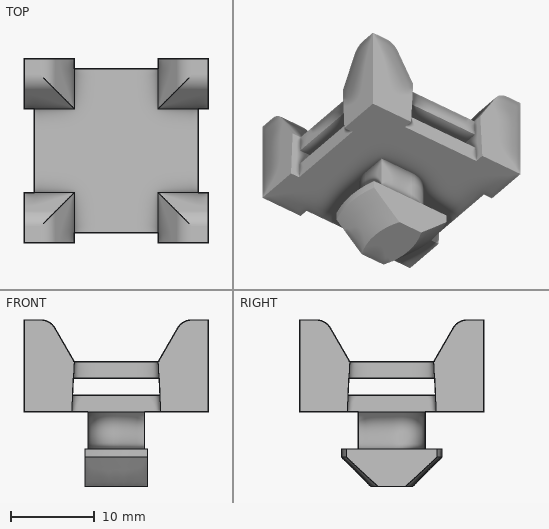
import cadquery as cq
import math

carrier_width = 22.0
carrier_height = 11.0
half_width = carrier_width / 2

plate_width = 19.6
plate_thickness = 2.0
plate_gap = 2.0
upper_plate_bottom = plate_thickness + plate_gap
seat_height = upper_plate_bottom + plate_thickness

post_spacing = 10.0
draft_angle = 3.0
guide_angle = 30.0
guide_radius = 2.0

stem_width = 6.8
stem_length = 8.0
stem_height = 4.4
stem_corner_radius = 3.5

head_width = 7.5
head_length = 12.0
head_band_height = 1.0
head_bevel = 3.5
head_end_radius = 12.0


def make_plate(bottom):
    plate = cq.Workplane("XY").workplane(offset=bottom)
    return plate.rect(plate_width, plate_width).extrude(plate_thickness)


def make_post_profile(plane):
    """Post outline on a vertical plane, extruded from the part centre to one outer side."""
    seat_edge = post_spacing / 2
    foot_edge = seat_edge + seat_height * math.tan(math.radians(draft_angle))
    slope = math.radians(guide_angle)
    slope_top = seat_edge + (carrier_height - seat_height) * math.tan(slope)

    tangent_length = guide_radius * math.tan((math.pi / 2 - slope) / 2)
    arc_start = (
        slope_top - tangent_length * math.sin(slope),
        carrier_height - tangent_length * math.cos(slope),
    )
    arc_end = (slope_top + tangent_length, carrier_height)

    return (
        cq.Workplane(plane)
        .moveTo(foot_edge, 0)
        .lineTo(seat_edge, seat_height)
        .lineTo(*arc_start)
        .radiusArc(arc_end, guide_radius)
        .lineTo(half_width, carrier_height)
        .lineTo(half_width, 0)
        .close()
        .extrude(half_width)
    )


def make_post():
    """Post in the +X +Y corner: the same outline seen along X and along Y."""
    along_x = make_post_profile("YZ")
    along_y = make_post_profile("XZ").mirror("XZ")
    return along_x.intersect(along_y)


def make_stem():
    """Block with two diagonally opposite corners rounded, so that it can turn in a slot."""
    stem = cq.Workplane("XY").rect(stem_width, stem_length).extrude(-stem_height)
    for corner in ("<(1, 1, 0)", ">(1, 1, 0)"):
        stem = stem.edges("|Z").edges(corner).fillet(stem_corner_radius)
    return stem


def make_head():
    half_head = head_width / 2
    tip = head_length / 2
    end_rise = head_end_radius - math.sqrt(head_end_radius**2 - half_head**2)
    corner = tip - end_rise
    full_height = head_band_height + head_bevel
    head = (
        cq.Workplane("XY")
        .workplane(offset=-stem_height)
        .moveTo(-half_head, -corner)
        .threePointArc((0, -tip), (half_head, -corner))
        .lineTo(half_head, corner)
        .threePointArc((0, tip), (-half_head, corner))
        .close()
        .extrude(-full_height)
    )
    return head.faces("<Z").edges("%CIRCLE").chamfer(head_bevel)


result = make_plate(0).union(make_plate(upper_plate_bottom))
post = make_post()
for angle in (0, 90, 180, 270):
    result = result.union(post.rotate((0, 0, 0), (0, 0, 1), angle))
result = result.union(make_stem()).union(make_head())